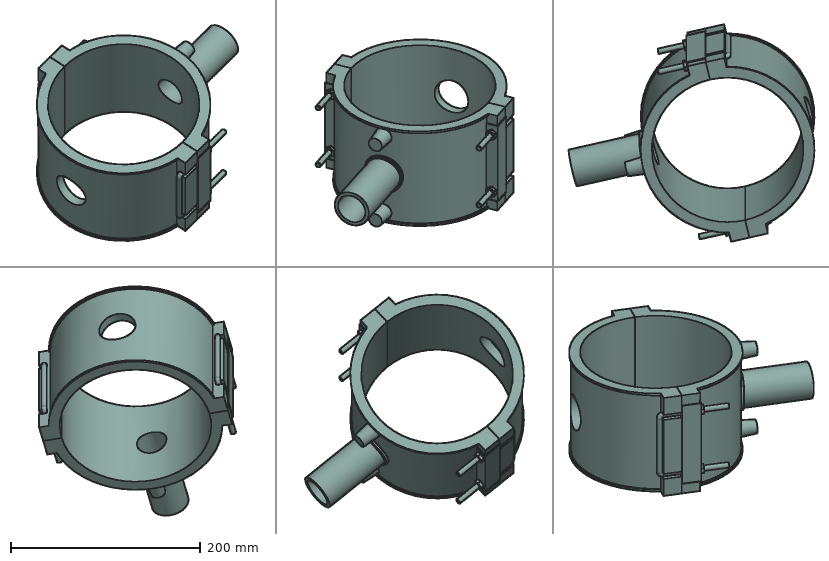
import cadquery as cq

parting_gap = 0.1
parting_face_y = parting_gap / 2
height = 118.0
bore_radius = 80.0
body_radius = 90.2
rim_radius = 91.8
rim_height = 2.5

lug_reach = 100.0
lug_depth = 20.0

plate_thickness = 1.0
plate_height = 94.0
plate_reach = lug_reach + plate_thickness
plate_rear = lug_depth + plate_thickness

rod_diameter = 6.0
rod_radius = rod_diameter / 2
rod_x = 94.0
rod_z = 35.5
rod_tip_y = 53.2
rod_tip_chamfer = 0.5
bridge_y = -22.8
bend_radius = 3.1
bend_centre_y = bridge_y + bend_radius
bend_centre_z = rod_z - bend_radius
nut_width = 10.0
nut_thickness = 4.0

tube_diameter = 40.0
tube_bore = 32.0
tube_end_y = 168.0
tube_root_y = 79.0
bead_diameter = 44.0
bead_height = 3.4
bead_chamfer = 0.7

front_hole_diameter = 39.2

peg_z = 47.0
peg_end_y = 109.7
peg_root_y = 88.0
peg_root_radius = 9.6
peg_taper = 5.0


def upright_cylinder(radius, length):
    """Cylinder on the Z axis, centred on Z = 0."""
    return cq.Workplane("XY").workplane(offset=-length / 2).circle(radius).extrude(length)


def rear_cylinder(diameter, x, z, start_y, end_y):
    """Cylinder along +Y between two Y positions."""
    plane = cq.Plane(origin=(x, start_y, z), xDir=(1, 0, 0), normal=(0, 1, 0))
    return cq.Workplane(plane).circle(diameter / 2).extrude(end_y - start_y)


def make_ring():
    """Solid disc with a rim at each end and a lug on each side."""
    ring = upright_cylinder(body_radius, height)
    for end in (-1, 1):
        rim_centre = end * (height - rim_height) / 2
        ring = ring.union(upright_cylinder(rim_radius, rim_height).translate((0, 0, rim_centre)))
    return ring.union(cq.Workplane("XY").box(2 * lug_reach, 2 * lug_depth, height))


def make_plates():
    """One block over both rear lugs; its middle lies inside the ring and the bore."""
    block = cq.Workplane("XY").box(
        2 * plate_reach, plate_rear - parting_face_y, plate_height, centered=(True, False, True)
    )
    return block.translate((0, parting_face_y, 0))


def make_rod_slot(side, z):
    """Slot in a lug, open to the side, whose round bottom holds the rod."""
    mouth = cq.Workplane("XY").box(
        lug_reach - rod_x, lug_depth, rod_diameter, centered=(False, False, True)
    )
    mouth = mouth.translate((rod_x, -lug_depth, z))
    if side < 0:
        mouth = mouth.mirror("YZ")
    return mouth.union(rear_cylinder(rod_diameter, side * rod_x, z, -lug_depth, 0))


def make_bend(x, end):
    """Quarter turn from the bridge into the upper (1) or lower (-1) rod."""
    section = cq.Workplane("XY").center(x, bridge_y).circle(rod_radius)
    bend = section.revolve(90, (1, bend_radius, 0), (-1, bend_radius, 0))
    bend = bend.translate((0, 0, bend_centre_z))
    if end < 0:
        bend = bend.mirror("XY")
    return bend


def make_u_bolt(side):
    x = side * rod_x
    bolt = upright_cylinder(rod_radius, 2 * bend_centre_z).translate((x, bridge_y, 0))
    for end in (-1, 1):
        z = end * rod_z
        rod = rear_cylinder(rod_diameter, x, z, bend_centre_y, rod_tip_y)
        rod = rod.faces(">Y").chamfer(rod_tip_chamfer)
        bolt = bolt.union(rod).union(make_bend(x, end)).union(make_nut(x, z))
    return bolt


def make_nut(x, z):
    """Hexagon nut with two corners pointing along Z."""
    plane = cq.Plane(origin=(x, plate_rear, z), xDir=(1, 0, 0), normal=(0, 1, 0))
    return cq.Workplane(plane).polygon(6, nut_width, circumscribed=True).extrude(nut_thickness)


def make_weld_bead():
    """Raised pad following the ring, bevelled around its outer edge."""
    pad = rear_cylinder(bead_diameter, 0, 0, tube_root_y, tube_end_y)
    pad = pad.intersect(upright_cylinder(body_radius + bead_height, height))
    return pad.faces(">Y").chamfer(bead_chamfer)


def make_peg(z):
    plane = cq.Plane(origin=(0, peg_root_y, z), xDir=(1, 0, 0), normal=(0, 1, 0))
    peg = cq.Workplane(plane).circle(peg_root_radius)
    return peg.extrude(peg_end_y - peg_root_y, taper=peg_taper)


clamp = make_ring()
clamp = clamp.union(rear_cylinder(tube_diameter, 0, 0, tube_root_y, tube_end_y))
clamp = clamp.union(make_weld_bead())
for peg_side in (-1, 1):
    clamp = clamp.union(make_peg(peg_side * peg_z))

clamp = clamp.cut(cq.Workplane("XY").box(2 * plate_reach, parting_gap, height))
clamp = clamp.union(make_plates())
clamp = clamp.cut(upright_cylinder(bore_radius, height))
clamp = clamp.cut(rear_cylinder(tube_bore, 0, 0, 0, tube_end_y))
clamp = clamp.cut(rear_cylinder(front_hole_diameter, 0, 0, -rim_radius, 0))
for lug_side in (-1, 1):
    for slot_z in (-rod_z, rod_z):
        clamp = clamp.cut(make_rod_slot(lug_side, slot_z))

for bolt_side in (-1, 1):
    clamp = clamp.union(make_u_bolt(bolt_side))

result = clamp